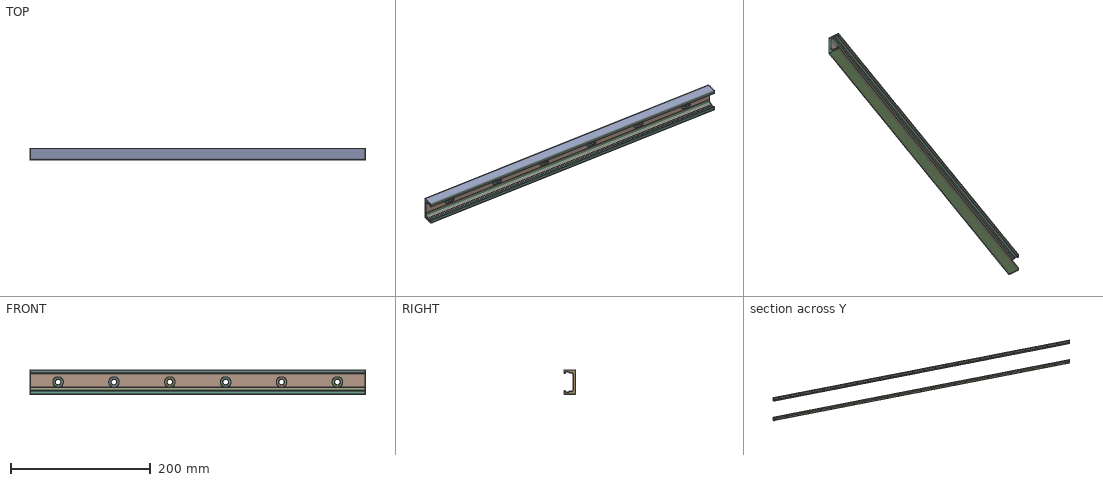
import cadquery as cq

length = 480.0
depth = 16.5
height = 35.0

web_thickness = 3.4
flange_thickness_at_web = 4.4
flange_thickness_at_lip = 3.0
flange_step_start = 8.45
flange_step_end = 10.2
lip_length = 5.3
lip_thickness = 2.0

web_corner_radius = 2.1
nose_radius = 1.0
lip_face_radius = 1.9
lip_back_radius = 0.8
undercut_radius = 0.7
back_corner_radius = 0.6

hole_diameter = 8.0
counterbore_diameter = 15.0
counterbore_depth = 2.5
hole_pitch = 80.0
hole_count = 6

groove_height = -counterbore_diameter / 2
groove_width = 0.4
groove_depth = 0.2

back = depth / 2
front = -depth / 2
top = height / 2
web_face = back - web_thickness
flange_root = top - flange_thickness_at_web
flange_tip = top - flange_thickness_at_lip
lip_tip = top - lip_length
lip_back = front + lip_thickness


def mirrored(half):
    """Close an upper half outline with its reflection below the XY plane."""
    return half + [(y, -z) for y, z in reversed(half)]


def round_corner(body, y, z, radius):
    """Fillet the two lengthwise edges at (y, z) and (y, -z)."""
    for side in (1, -1):
        edge = cq.selectors.NearestToPointSelector((0, y, side * z))
        body = body.edges("|X").edges(edge).fillet(radius)
    return body


def channel():
    half = [
        (back, top),
        (front, top),
        (front, lip_tip),
        (lip_back, lip_tip),
        (lip_back, flange_tip),
        (back - flange_step_end, flange_tip),
        (back - flange_step_start, flange_root),
        (web_face, flange_root),
    ]
    body = cq.Workplane("YZ").polyline(mirrored(half)).close().extrude(length / 2, both=True)
    body = round_corner(body, back, top, back_corner_radius)
    body = round_corner(body, front, top, nose_radius)
    body = round_corner(body, front, lip_tip, lip_face_radius)
    body = round_corner(body, lip_back, lip_tip, lip_back_radius)
    body = round_corner(body, lip_back, flange_tip, undercut_radius)
    return round_corner(body, web_face, flange_root, web_corner_radius)


def marking_groove():
    outline = [
        (web_face, groove_height + groove_width / 2),
        (web_face + groove_depth, groove_height),
        (web_face, groove_height - groove_width / 2),
    ]
    return cq.Workplane("YZ").polyline(outline).close().extrude(length / 2, both=True)


def mounting_holes():
    centres = cq.Workplane("XZ", origin=(0, web_face, 0)).rarray(hole_pitch, 1, hole_count, 1)
    bores = centres.circle(hole_diameter / 2).extrude(-web_thickness)
    counterbores = centres.circle(counterbore_diameter / 2).extrude(-counterbore_depth)
    return bores.union(counterbores)


result = channel().cut(marking_groove()).cut(mounting_holes())